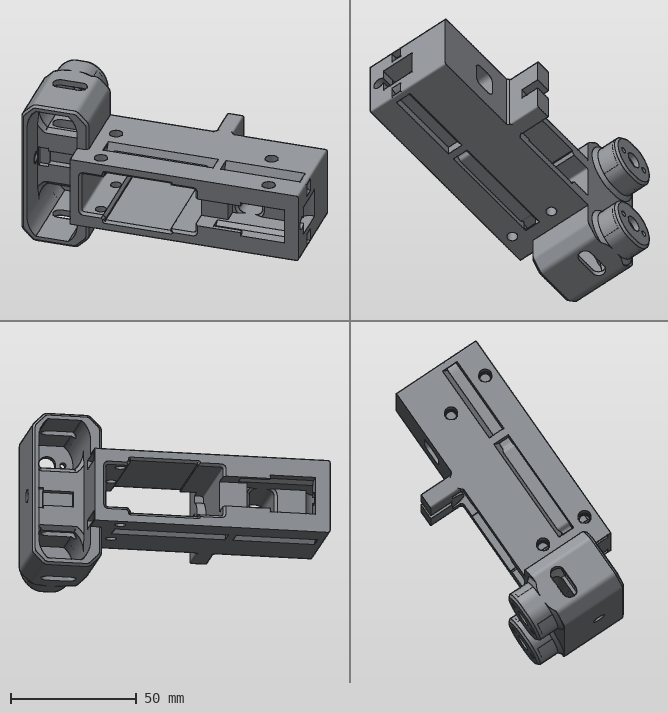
import cadquery as cq
LENGTH = 118.8
BACK_Y = 38.4
EDGE = 1.0

HEAD_WIDTH = 28.0
HEAD_HEIGHT = 62.7
HEAD_FRONT_Y = 9.3
HEAD_CORNER_CHAMFER = 5.0
HEAD_CORNER_FILLET = 3.0
CAVITY_FLOOR_Y = 22.9
SIDE_HOLE_Y = 21.6
WIRE_SLOT_LENGTH = 14.1
WIRE_SLOT_WIDTH = 5.8
WIRE_SLOT_X = 14.1
WIRE_SLOT_Y = 29.1
FLOOR_SLOT_START_X = 3.0
FLOOR_SLOT_STEP_X = 7.0
FLOOR_SLOT_END_X = 19.1
FLOOR_SLOT_WIDTH = 6.2
FLOOR_SLOT_HEAD_WIDTH = 8.3
FLOOR_SLOT_DEPTH = 2.8
FLOOR_SLOT_HEAD_DEPTH = 2.0

BOSS_X = 13.0
BOSS_RADIUS = 10.9
BOSS_FLAT = 10.5
BOSS_Z = HEAD_HEIGHT / 2 - BOSS_FLAT
BOSS_BLEND = 7.1
BOSS_END_Y = 49.5
BOSS_FLARE = 1.7
CUP_RADIUS = 10.5
CUP_FLAT = 8.0
CUP_MOUTH_CHAMFER = 1.8
CUP_END_WALL = 2.4
CUP_HOLE_DIAMETER = 6.9
SCREW_HOLE_DIAMETER = 2.4
SCREW_HOLE_OFFSET = 6.4

ARM_START_X = BOSS_X + CUP_RADIUS
ARM_HEIGHT = 29.8
ARM_TOP_Z = ARM_HEIGHT / 2
WINDOW_START_X = 28.0
WINDOW_STEP_START_X = 36.9
WINDOW_MIDDLE_START_X = 38.0
WINDOW_MIDDLE_END_X = 65.2
WINDOW_END_X = 75.5
WINDOW_START_HALF = 8.8
WINDOW_STEP_HALF = 10.2
WINDOW_MIDDLE_HALF = 10.9
WINDOW_END_HALF = 10.1
WINDOW_CHAMFER = 1.1
WINDOW_CORNER_FILLET = 1.0

RECESS_HALF = 6.2
RECESS_LEDGE_X = 86.7
RECESS_LEDGE_Y = 8.3
RECESS_DEPTH = 14.2
GROOVE_START_X = 82.8
GROOVE_END_X = 112.8
GROOVE_FRONT_Y = 1.8
GROOVE_BACK_Y = 6.8
GROOVE_DEPTH = 1.4
GROOVE_BACK_LEAN = 2.1
GROOVE_MOUTH_X = 94.5
EXIT_BEND_RADIUS = 7.1

LEAD_WINDOW_START_X = 88.8
LEAD_WINDOW_END_X = 98.9
LEAD_WINDOW_FILLET = 3.0
LEAD_WINDOW_CHAMFER = 1.1

SLIT_RANGES = ((33.6, 79.6), (82.8, 115.8))
SLIT_FRONT_Y = 11.0
SLIT_BACK_Y = 18.0
SLIT_BACK_LEAN = 2.5
HUMP_START_X = 34.7
HUMP_END_X = 77.4
HUMP_RISE = 1.5
HUMP_RAMP = 2.8

END_SLOT_FRONT_Y = 1.4
END_SLOT_BACK_Y = 16.0
END_SLOT_LOW_Z = 10.6
END_SLOT_HEIGHT = 3.6
END_SLOT_STOP_X = 27.0
END_SLOT_BEND_Y = 4.4
END_SLOT_BEND_RADIUS = 5.9
STRAP_EXIT_X = 113.2
STRAP_EXIT_DROP = 1.8

BOLT_DIAMETER = 4.3
INSERT_DIAMETER = 5.2
INSERT_DEPTH = 4.0
THROUGH_BOLTS = ((34.7, 5.0), (34.7, 24.9))
BLIND_BOLTS = ((104.7, 5.0), (99.6, 24.9))
BLIND_BOLT_DEPTH = 5.9
SIDE_INSERT_DEPTH = 2.3
END_HOLE_Y = 4.5

TAB_START_X = 72.0
TAB_END_X = 79.0
TAB_END_Y = 53.5
TAB_EDGE_FILLET = 0.8
TAB_BASE = 1.7
TAB_RELIEF_Y = 43.1
NOTCH_WIDTH = 5.3
NOTCH_STEP_Y = 43.3
NOTCH_THROUGH_Y = 45.5
NOTCH_PAD_RADIUS = 7.5
NOTCH_PAD_Y = 45.1


def block(x_range, y_range, z_range):
    """Box between the given coordinate pairs."""
    size = [b - a for a, b in (x_range, y_range, z_range)]
    return cq.Workplane("XY").box(*size, centered=False).translate((x_range[0], y_range[0], z_range[0]))


def centred_block(x_range, y_range, half_height):
    """Box placed symmetrically about Z = 0."""
    return block(x_range, y_range, (-half_height, half_height))


def plane_at(y):
    """Workplane parallel to XZ; positive extrusions run toward -Y."""
    return cq.Workplane("XZ", origin=(0, y, 0))


def flatted_disc(radius, flat, z, y_range):
    """Round bar along Y, cut by flats above and below its axis."""
    bar = plane_at(y_range[1]).center(BOSS_X, z).circle(radius).extrude(y_range[1] - y_range[0])
    limits = block((BOSS_X - radius, BOSS_X + radius), y_range, (z - flat, z + flat))
    return bar.intersect(limits)


def flare_forward(solid, length):
    """Taper at 45 degrees that widens toward -Y from the solid's front face."""
    return solid.faces("<Y").wires().toPending().workplane().extrude(length, taper=-45, combine=False)


def arc_radius(run, rise):
    """Radius of an arc that starts level and gains the rise over the run."""
    return (run ** 2 + rise ** 2) / (2 * rise)


def bolt_hole(plane, depth, insert_depth):
    """Hole running against the plane's normal, wider for its first stretch."""
    hole = plane.circle(BOLT_DIAMETER / 2).extrude(-depth)
    return hole.union(plane.circle(INSERT_DIAMETER / 2).extrude(-insert_depth))


def head_block(back_y):
    """Solid head with blended corner chamfers, from its front face back to back_y."""
    half = HEAD_HEIGHT / 2
    body = centred_block((0, HEAD_WIDTH), (HEAD_FRONT_Y, back_y), half)
    body = body.edges("|Y").chamfer(HEAD_CORNER_CHAMFER)
    return body.edges("|Y").fillet(HEAD_CORNER_FILLET)


def boss(z):
    """Outer body of one boss, tapered at its tip and flared at its base."""
    body = flatted_disc(BOSS_RADIUS, BOSS_FLAT, z, (BACK_Y + BOSS_FLARE, BOSS_END_Y - EDGE))
    body = body.edges("|Y and (not <X) and (not >X)").fillet(BOSS_BLEND)
    tip = body.faces(">Y").wires().toPending().workplane().extrude(EDGE, taper=45, combine=False)
    flare = flare_forward(body, BOSS_FLARE).intersect(head_block(BOSS_END_Y))
    return body.union(tip).union(flare)


def head_cavity():
    """Front pocket following the outer rounding of both cups."""
    depth_range = (HEAD_FRONT_Y, CAVITY_FLOOR_Y)
    cavity = centred_block((BOSS_X - CUP_RADIUS, BOSS_X + CUP_RADIUS), depth_range, BOSS_Z)
    for z in (-BOSS_Z, BOSS_Z):
        cavity = cavity.union(flatted_disc(CUP_RADIUS, CUP_FLAT, z, depth_range))
    return cavity


def cup(z):
    """Hollow of one boss with its inward mouth chamfer and end-wall holes."""
    end_y = BOSS_END_Y - CUP_END_WALL
    hollow = flatted_disc(CUP_RADIUS, CUP_FLAT, z, (CAVITY_FLOOR_Y, end_y))
    throat = flatted_disc(CUP_RADIUS, CUP_FLAT, z, (CAVITY_FLOOR_Y + CUP_MOUTH_CHAMFER, end_y))
    outer_z = BOSS_Z + CUP_FLAT
    side_limits = centred_block(
        (BOSS_X - CUP_RADIUS, BOSS_X + CUP_RADIUS), (CAVITY_FLOOR_Y, end_y), outer_z)
    inward = BOSS_Z if z > 0 else -BOSS_Z
    mouth_limits = side_limits.intersect(
        block((0, HEAD_WIDTH), (CAVITY_FLOOR_Y, end_y), (min(0, inward), max(0, inward))))
    mouth = flare_forward(throat, CUP_MOUTH_CHAMFER).intersect(mouth_limits)
    end_plane = plane_at(BOSS_END_Y).center(BOSS_X, z)
    centre_hole = end_plane.circle(CUP_HOLE_DIAMETER / 2).extrude(CUP_END_WALL)
    screw_holes = (
        end_plane.pushPoints([(-SCREW_HOLE_OFFSET, 0), (SCREW_HOLE_OFFSET, 0)])
        .circle(SCREW_HOLE_DIAMETER / 2).extrude(CUP_END_WALL))
    return hollow.union(mouth).union(centre_hole).union(screw_holes)


def wire_slot():
    """Vertical slot running through the head from top to bottom."""
    return (
        cq.Workplane("XY", origin=(WIRE_SLOT_X, WIRE_SLOT_Y, -HEAD_HEIGHT / 2))
        .slot2D(WIRE_SLOT_LENGTH, WIRE_SLOT_WIDTH).extrude(HEAD_HEIGHT))


def floor_slot():
    """T-shaped pocket in the cavity floor."""
    stem = centred_block(
        (FLOOR_SLOT_STEP_X, FLOOR_SLOT_END_X),
        (CAVITY_FLOOR_Y, CAVITY_FLOOR_Y + FLOOR_SLOT_DEPTH), FLOOR_SLOT_WIDTH / 2)
    cross = centred_block(
        (FLOOR_SLOT_START_X, FLOOR_SLOT_STEP_X),
        (CAVITY_FLOOR_Y, CAVITY_FLOOR_Y + FLOOR_SLOT_HEAD_DEPTH), FLOOR_SLOT_HEAD_WIDTH / 2)
    return stem.union(cross)


def side_hole():
    """Stepped hole through the outer side wall of the head."""
    plane = cq.Workplane("YZ", origin=(0, SIDE_HOLE_Y, 0)).transformed(rotate=(0, 180, 0))
    return bolt_hole(plane, BOSS_X - CUP_RADIUS, SIDE_INSERT_DEPTH)


def arm():
    """Plain arm with rounded edges at its far end."""
    body = centred_block((ARM_START_X, LENGTH), (0, BACK_Y), ARM_TOP_Z)
    return body.edges("|Y and >X").fillet(EDGE)


def tab():
    """Full-height rear tab, widened where it meets the arm."""
    body = centred_block((TAB_START_X, TAB_END_X), (BACK_Y, TAB_END_Y), ARM_TOP_Z)
    body = body.edges("|Y").fillet(TAB_EDGE_FILLET)
    spread = TAB_BASE / 2
    base = (
        cq.Workplane("XY", origin=(0, 0, -ARM_TOP_Z))
        .moveTo(TAB_START_X - spread, BACK_Y)
        .lineTo(TAB_END_X + spread, BACK_Y)
        .lineTo(TAB_END_X - spread, BACK_Y + TAB_BASE)
        .lineTo(TAB_START_X + spread, BACK_Y + TAB_BASE)
        .close().extrude(ARM_HEIGHT))
    return body.union(base)


def window():
    """Stepped window through the arm, running partly into the tab behind it."""
    upper = [
        (WINDOW_START_X, WINDOW_START_HALF),
        (WINDOW_STEP_START_X, WINDOW_START_HALF),
        (WINDOW_MIDDLE_START_X, WINDOW_STEP_HALF),
        (WINDOW_MIDDLE_START_X, WINDOW_MIDDLE_HALF),
        (WINDOW_MIDDLE_END_X, WINDOW_MIDDLE_HALF),
        (WINDOW_MIDDLE_END_X, WINDOW_END_HALF),
        (WINDOW_END_X, WINDOW_END_HALF),
    ]
    lower = [(x, -z) for x, z in reversed(upper)]
    shaft = plane_at(TAB_RELIEF_Y).polyline(upper + lower).close().extrude(TAB_RELIEF_Y - WINDOW_CHAMFER)
    shaft = shaft.edges("|Y and (<X or >X)").fillet(WINDOW_CORNER_FILLET)
    rim = flare_forward(shaft, WINDOW_CHAMFER)
    disc = (
        cq.Workplane("YZ", origin=(TAB_START_X, NOTCH_PAD_Y, 0))
        .circle(NOTCH_PAD_RADIUS).extrude(TAB_END_X - TAB_START_X))
    return shaft.union(rim).cut(disc)


def notch():
    """Notch in the tab, deeper on the side that faces the head."""
    half = NOTCH_WIDTH / 2
    deep = centred_block((TAB_START_X, WINDOW_END_X), (NOTCH_STEP_Y, TAB_END_Y), half)
    through = centred_block((TAB_START_X, TAB_END_X), (NOTCH_THROUGH_Y, TAB_END_Y), half)
    return deep.union(through)


def recess():
    """Two-level recess beside the window, leaving through the arm's end around a bend."""
    shallow = centred_block((WINDOW_END_X, RECESS_LEDGE_X), (0, RECESS_LEDGE_Y), RECESS_HALF)
    mouth = centred_block((RECESS_LEDGE_X, GROOVE_END_X), (0, GROOVE_BACK_Y), RECESS_HALF)
    bend_end_y = RECESS_DEPTH + EXIT_BEND_RADIUS
    way_out = (
        cq.Workplane("XY", origin=(0, 0, -RECESS_HALF))
        .moveTo(RECESS_LEDGE_X, GROOVE_BACK_Y)
        .lineTo(LENGTH, GROOVE_BACK_Y)
        .lineTo(LENGTH, bend_end_y)
        .radiusArc((LENGTH - EXIT_BEND_RADIUS, RECESS_DEPTH), -EXIT_BEND_RADIUS)
        .lineTo(RECESS_LEDGE_X, RECESS_DEPTH)
        .close().extrude(2 * RECESS_HALF))
    return shallow.union(mouth).union(way_out)


def recess_groove():
    """Groove above and below the recess: sloped back wall, partly open to the front."""
    half = RECESS_HALF + GROOVE_DEPTH
    groove = (
        cq.Workplane("YZ", origin=(GROOVE_START_X, 0, 0))
        .moveTo(GROOVE_FRONT_Y, -half)
        .lineTo(GROOVE_BACK_Y - GROOVE_BACK_LEAN, -half)
        .lineTo(GROOVE_BACK_Y, -RECESS_HALF)
        .lineTo(GROOVE_BACK_Y, RECESS_HALF)
        .lineTo(GROOVE_BACK_Y - GROOVE_BACK_LEAN, half)
        .lineTo(GROOVE_FRONT_Y, half)
        .close().extrude(GROOVE_END_X - GROOVE_START_X))
    mouth = centred_block((GROOVE_MOUTH_X, GROOVE_END_X), (0, GROOVE_FRONT_Y), half)
    return groove.union(mouth)


def lead_window():
    """Rounded opening from the recess to the rear, chamfered at its sides."""
    width = LEAD_WINDOW_END_X - LEAD_WINDOW_START_X
    centre_x = (LEAD_WINDOW_START_X + LEAD_WINDOW_END_X) / 2
    rim_y = RECESS_DEPTH + LEAD_WINDOW_CHAMFER
    opening = plane_at(BACK_Y).center(centre_x, 0).rect(width, 2 * RECESS_HALF).extrude(BACK_Y - rim_y)
    opening = opening.edges("|Y").fillet(LEAD_WINDOW_FILLET)
    rim_limits = centred_block((RECESS_LEDGE_X, GROOVE_END_X), (RECESS_DEPTH, rim_y), RECESS_HALF)
    return opening.union(flare_forward(opening, LEAD_WINDOW_CHAMFER).intersect(rim_limits))


def strap_slit(x_range):
    """Slit in the arm's top whose back wall leans forward as it goes down."""
    return (
        cq.Workplane("YZ", origin=(x_range[0], 0, 0))
        .moveTo(SLIT_FRONT_Y, ARM_TOP_Z)
        .lineTo(SLIT_BACK_Y, ARM_TOP_Z)
        .lineTo(SLIT_BACK_Y - SLIT_BACK_LEAN, END_SLOT_LOW_Z)
        .lineTo(SLIT_FRONT_Y, END_SLOT_LOW_Z)
        .close().extrude(x_range[1] - x_range[0]))


def strap_hump():
    """Raised floor that carries the strap over the window, with S-shaped ramps."""
    low_z = END_SLOT_LOW_Z
    middle_z = low_z + HUMP_RISE / 2
    top_z = low_z + HUMP_RISE
    half_ramp = HUMP_RAMP / 2
    bend = arc_radius(half_ramp, HUMP_RISE / 2)
    return (
        plane_at(SLIT_BACK_Y)
        .moveTo(HUMP_START_X, low_z)
        .radiusArc((HUMP_START_X + half_ramp, middle_z), -bend)
        .radiusArc((HUMP_START_X + HUMP_RAMP, top_z), bend)
        .lineTo(HUMP_END_X - HUMP_RAMP, top_z)
        .radiusArc((HUMP_END_X - half_ramp, middle_z), bend)
        .radiusArc((HUMP_END_X, low_z), -bend)
        .close().extrude(SLIT_BACK_Y - SLIT_FRONT_Y))


def end_slot():
    """Flat strap channel entering the arm's head end around a rounded corner."""
    bend_end_x = END_SLOT_STOP_X + END_SLOT_BEND_RADIUS
    bend_end_y = END_SLOT_BEND_Y + END_SLOT_BEND_RADIUS
    return (
        cq.Workplane("XY", origin=(0, 0, END_SLOT_LOW_Z))
        .moveTo(ARM_START_X, END_SLOT_FRONT_Y)
        .lineTo(END_SLOT_STOP_X, END_SLOT_FRONT_Y)
        .lineTo(END_SLOT_STOP_X, END_SLOT_BEND_Y)
        .radiusArc((bend_end_x, bend_end_y), END_SLOT_BEND_RADIUS)
        .lineTo(HUMP_START_X, bend_end_y)
        .lineTo(HUMP_START_X, END_SLOT_BACK_Y)
        .lineTo(ARM_START_X, END_SLOT_BACK_Y)
        .close().extrude(END_SLOT_HEIGHT))


def strap_exit():
    """Strap channel from the rear slit to the arm's far end, its floor curving away."""
    run = LENGTH - STRAP_EXIT_X
    bend = arc_radius(run, STRAP_EXIT_DROP)
    ceiling_z = END_SLOT_LOW_Z + END_SLOT_HEIGHT
    back_y = SLIT_BACK_Y - SLIT_BACK_LEAN
    return (
        plane_at(back_y)
        .moveTo(STRAP_EXIT_X, END_SLOT_LOW_Z)
        .radiusArc((LENGTH, END_SLOT_LOW_Z - STRAP_EXIT_DROP), bend)
        .lineTo(LENGTH, ceiling_z)
        .lineTo(STRAP_EXIT_X, ceiling_z)
        .close().extrude(back_y - SLIT_FRONT_Y))


def strap_path():
    """Both slits and the end channels that lead the strap out of the arm."""
    path = end_slot().union(strap_exit())
    for slit_range in SLIT_RANGES:
        path = path.union(strap_slit(slit_range))
    return path.cut(strap_hump())


def arm_bolt(position, depth):
    """Bolt hole entering the arm from its top."""
    return bolt_hole(cq.Workplane("XY", origin=(*position, ARM_TOP_Z)), depth, INSERT_DEPTH)


def end_hole():
    """Hole through the end wall into the recess."""
    plane = cq.Workplane("YZ", origin=(GROOVE_END_X, END_HOLE_Y, 0))
    return plane.circle(INSERT_DIAMETER / 2).extrude(LENGTH - GROOVE_END_X)


result = head_block(BACK_Y).faces("<Y").chamfer(EDGE)
result = result.union(arm()).union(tab())
for boss_z in (-BOSS_Z, BOSS_Z):
    result = result.union(boss(boss_z))

result = result.cut(head_cavity()).cut(wire_slot()).cut(floor_slot()).cut(side_hole())
for boss_z in (-BOSS_Z, BOSS_Z):
    result = result.cut(cup(boss_z))

result = result.cut(window()).cut(notch())
result = result.cut(recess()).cut(recess_groove()).cut(lead_window()).cut(end_hole())
result = result.cut(strap_path()).cut(strap_path().mirror("XY"))
for bolt in THROUGH_BOLTS:
    result = result.cut(arm_bolt(bolt, ARM_HEIGHT))
for bolt in BLIND_BOLTS:
    result = result.cut(arm_bolt(bolt, BLIND_BOLT_DEPTH))